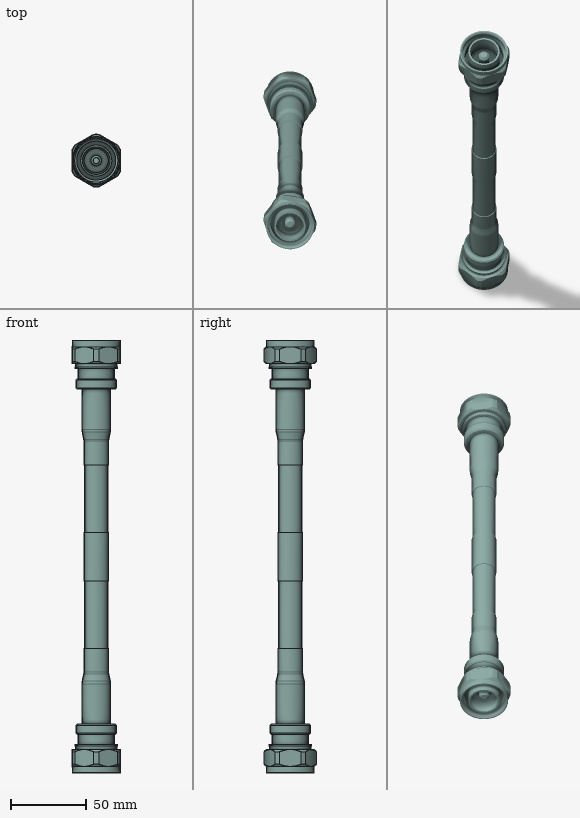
import cadquery as cq
import math


LENGTH = 287.2
MID_Z = LENGTH / 2

CABLE_R = 7.8
LABEL_R = 16.5 / 2
LABEL_LENGTH = 32.2

HEX_SIDES = 6
HEX_FLATS = 32.0
HEX_CORNERS = 35.0
HEX_TOP = 4.3
HEX_BOTTOM = 15.5
NUT_BORE_R = 13.0
NUT_MOUTH_R = 14.5
NUT_MOUTH_DEPTH = 4.3
NUT_LIP = 1.0
NUT_REAR_R = 13.8
NUT_FLANGE_R = 28.5 / 2
NUT_FLANGE_TOP = 17.8
NUT_END = 18.7

TUBE_R = 10.3
SOCKET_R = 9.2
SOCKET_FLOOR_CHAMFER = 1.1
SOCKET_DEPTH = 14.0
SHOULDER_TOP = 13.0
SHOULDER_BOTTOM = 15.8
NECK_R = 12.0
COLLAR_R = 26.7 / 2
COLLAR_TOP = 25.5
COLLAR_CHAMFER = 1.0
BODY_END = 32.5
PIN_R = 3.5
PIN_TIP_DEPTH = 4.3
PIN_TIP_CHAMFER = 1.5

SLEEVE_R = 9.5
SLEEVE_SMALL_R = 16.5 / 2
TAPER_TOP = 60.0
TAPER_BOTTOM = 66.3
TAPER_TOP_FILLET = 8.5
TAPER_BOTTOM_FILLET = 5.7
SLEEVE_END = 82.7

BOX_MARGIN = 0.3


def turned(profile):
    """Solid of revolution about Z from (radius, depth) points, open face at the top end."""
    points = [(radius, LENGTH - depth) for radius, depth in profile]
    return cq.Workplane("XZ").polyline(points).close().revolve(360, (0, 0, 0), (0, 1, 0))


def tube(outer_radius, inner_radius, top, bottom):
    return turned([
        (inner_radius, top),
        (outer_radius, top),
        (outer_radius, bottom),
        (inner_radius, bottom),
    ])


def make_nut():
    """Hex nut with round front collar, rear flange and a stepped bore that traps the body."""
    flat_r = HEX_FLATS / 2
    corner_r = HEX_CORNERS / 2
    chamfer = corner_r - flat_r

    corner_envelope = turned([
        (0, HEX_TOP),
        (flat_r, HEX_TOP),
        (corner_r, HEX_TOP + chamfer),
        (corner_r, HEX_BOTTOM - chamfer),
        (flat_r, HEX_BOTTOM),
        (0, HEX_BOTTOM),
    ])
    hexagon = (
        cq.Workplane("XY")
        .workplane(offset=LENGTH - HEX_BOTTOM)
        .polygon(HEX_SIDES, HEX_FLATS / math.cos(math.pi / HEX_SIDES))
        .extrude(HEX_BOTTOM - HEX_TOP)
        .rotate((0, 0, 0), (0, 0, 1), 180 / HEX_SIDES)
        .intersect(corner_envelope)
    )
    front_collar = turned([(0, 0), (flat_r, 0), (flat_r, HEX_TOP), (0, HEX_TOP)])
    rear = turned([
        (0, HEX_BOTTOM),
        (NUT_REAR_R, HEX_BOTTOM),
        (NUT_REAR_R, NUT_FLANGE_TOP),
        (NUT_FLANGE_R, NUT_FLANGE_TOP),
        (NUT_FLANGE_R, NUT_END),
        (0, NUT_END),
    ])
    bore = turned([
        (0, 0),
        (NUT_MOUTH_R + NUT_LIP, 0),
        (NUT_MOUTH_R, NUT_LIP),
        (NUT_MOUTH_R, NUT_MOUTH_DEPTH),
        (NUT_BORE_R, NUT_MOUTH_DEPTH + NUT_MOUTH_R - NUT_BORE_R),
        (NUT_BORE_R, SHOULDER_BOTTOM),
        (NECK_R, SHOULDER_BOTTOM),
        (NECK_R, NUT_END),
        (0, NUT_END),
    ])
    return hexagon.union(front_collar).union(rear).cut(bore)


def make_connector_body():
    """Turned body: socket tube with centre pin, trapped shoulder, neck and rear collar."""
    return turned([
        (0, PIN_TIP_DEPTH),
        (PIN_R - PIN_TIP_CHAMFER, PIN_TIP_DEPTH),
        (PIN_R, PIN_TIP_DEPTH + PIN_TIP_CHAMFER),
        (PIN_R, SOCKET_DEPTH),
        (SOCKET_R - SOCKET_FLOOR_CHAMFER, SOCKET_DEPTH),
        (SOCKET_R, SOCKET_DEPTH - SOCKET_FLOOR_CHAMFER),
        (SOCKET_R, 0),
        (TUBE_R, 0),
        (TUBE_R, SHOULDER_TOP),
        (NUT_BORE_R, SHOULDER_TOP),
        (NUT_BORE_R, SHOULDER_BOTTOM),
        (NECK_R, SHOULDER_BOTTOM),
        (NECK_R, COLLAR_TOP),
        (COLLAR_R - COLLAR_CHAMFER, COLLAR_TOP),
        (COLLAR_R, COLLAR_TOP + COLLAR_CHAMFER),
        (COLLAR_R, BODY_END - COLLAR_CHAMFER),
        (COLLAR_R - COLLAR_CHAMFER, BODY_END),
        (0, BODY_END),
    ])


def round_edge(body, radius, depth, fillet_radius):
    """Fillet the circular edge of the given radius at the given depth."""
    z = LENGTH - depth
    edge_box = cq.selectors.BoxSelector(
        (-radius - BOX_MARGIN, -radius - BOX_MARGIN, z - BOX_MARGIN),
        (radius + BOX_MARGIN, radius + BOX_MARGIN, z + BOX_MARGIN),
    )
    return body.edges("%CIRCLE").edges(edge_box).fillet(fillet_radius)


def make_sleeve():
    """Shrink sleeve on the cable, stepping down through a taper with rounded edges."""
    sleeve = turned([
        (CABLE_R, BODY_END),
        (SLEEVE_R, BODY_END),
        (SLEEVE_R, TAPER_TOP),
        (SLEEVE_SMALL_R, TAPER_BOTTOM),
        (SLEEVE_SMALL_R, SLEEVE_END),
        (CABLE_R, SLEEVE_END),
    ])
    sleeve = round_edge(sleeve, SLEEVE_R, TAPER_TOP, TAPER_TOP_FILLET)
    return round_edge(sleeve, SLEEVE_SMALL_R, TAPER_BOTTOM, TAPER_BOTTOM_FILLET)


cable = tube(CABLE_R, 0, BODY_END, LENGTH - BODY_END)
label = tube(LABEL_R, CABLE_R, MID_Z - LABEL_LENGTH / 2, MID_Z + LABEL_LENGTH / 2)

end_bodies = []
for make_body in (make_nut, make_connector_body, make_sleeve):
    top_body = make_body()
    bottom_body = top_body.mirror("XY", (0, 0, MID_Z))
    end_bodies += [top_body.val(), bottom_body.val()]

result = cq.Compound.makeCompound([cable.val(), label.val(), *end_bodies])